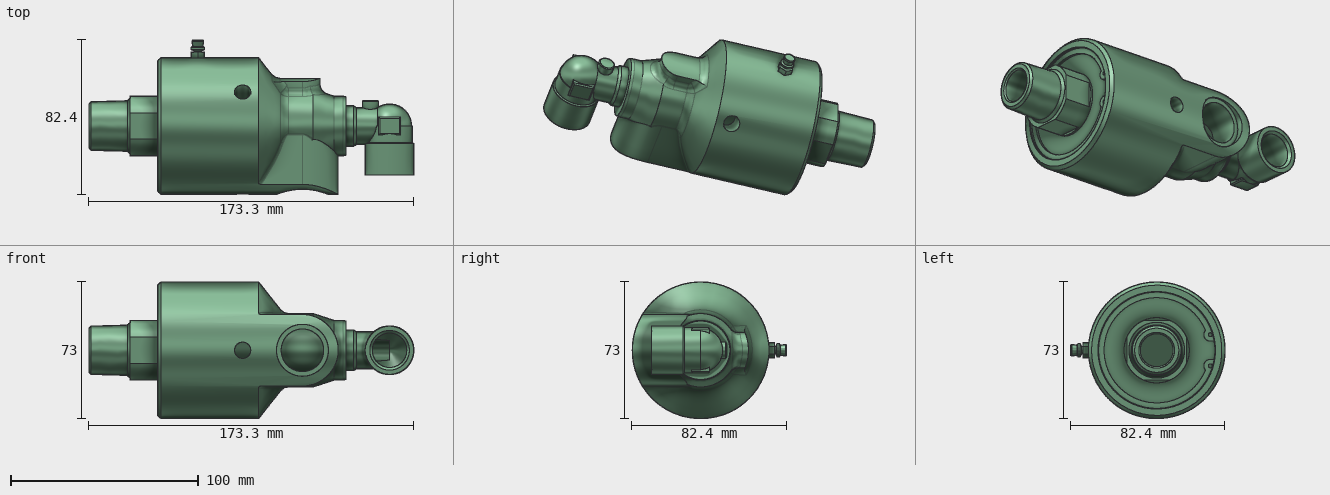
import cadquery as cq
import math


overlap = 1.7
margin = 0.2

pipe_tip_radius = 11.8
pipe_radius_start = 13.0
pipe_radius_end = 13.5
pipe_chamfer = 1.2
pipe_end = 20.5
nut_start = 22.0
nut_face_radius = 14.9
nut_diameter = 34.8
nut_across_flats = 31.9
nut_flats_end = 38.1
bore_diameter = 17.5
bore_mouth_diameter = 19.0
bore_depth = 90.1

body_start = 36.5
body_end = 90.5
body_radius = 36.48
body_chamfer = 1.7
neck_start = 103.8
neck_end = 119.6
neck_radius = 19.5
shoulder_fillet = 5.4
flange_start = 130.7
flange_end = 137.1
flange_radius = 16.0
flange_bevel_length = 1.5
flange_bevel_depth = 0.3
collar_end = 142.6
collar_radius = 11.0
collar_chamfer = 1.5

recess_diameter = 62.0
recess_depth = 2.8
recess_chamfer = 0.3
ring_inner_radius = 28.0
ring_thickness = 1.4
ring_gap = 9.7
ear_radius = 3.5
ear_y = -28.6
ear_z = 8.3
ear_hole_diameter = 2.0

port_x = 113.9
port_diameter = 22.7
port_counterbore_diameter = 27.7
port_counterbore_depth = 3.6
port_floor_radius = 15.3
lug_half_width = 19.0
lug_fillet = 1.7
back_pad_radius = 25.5
back_pad_half_width = 9.4
back_pad_fillet = 5.5
weep_x = 82.0
weep_diameter = 8.7
weep_floor_radius = 19.0
weep_count = 3

nipple_x = 58.0
nipple_length = 9.4
nipple_hex_height = 3.0
nipple_hex_flats = 7.1
nipple_neck_radius = 2.0
nipple_bulge_radius = 3.6
nipple_bulge_height = 1.0
nipple_head_radius = 3.1
nipple_tip_radius = 2.8
nipple_slope = 0.7
nipple_root_depth = 0.9

elbow_x = 160.3
elbow_radius = 12.1
dome_radius = 11.8
arm_radius = 9.9
arm_bore_diameter = 11.5
sleeve_diameter = 26.0
sleeve_start = 9.4
sleeve_end = 26.2
sleeve_bevel = 0.7
sleeve_bore_diameter = 18.4
sleeve_bore_chamfer = 1.4
drill_tip_height = 5.2
pad_length = 11.8
pad_width = 9.5
pad_height = 12.1
pad_chamfer = 0.7
stub_x = 150.1
stub_diameter = 8.7
stub_top = 13.7
stub_chamfer = 0.5


def turned(profile):
    """Solid of revolution about X from (x, radius) points, closed along the axis."""
    points = [(profile[0][0], 0)] + profile + [(profile[-1][0], 0)]
    return cq.Workplane("XY").polyline(points).close().revolve(360, (0, 0, 0), (1, 0, 0))


def turned_y(x, profile):
    """Solid of revolution about the line through x parallel to Y, from (radius, y) points."""
    outline = cq.Workplane("XY", origin=(x, 0, 0)).polyline(profile).close()
    return outline.revolve(360, (0, 0, 0), (0, 1, 0))


def rod_x(radius, start, end):
    return cq.Workplane("YZ", origin=(start, 0, 0)).circle(radius).extrude(end - start)


def rod_front(x, radius, near, far):
    """Cylinder pointing to -Y, between the distances near and far from the axis."""
    return cq.Workplane("XZ", origin=(x, -near, 0)).circle(radius).extrude(far - near)


def box_selector(low, high):
    """Select edges whose centre lies in the box."""
    return cq.selectors.BoxSelector(low, high)


def make_housing():
    housing = turned([
        (body_start, body_radius - body_chamfer),
        (body_start + body_chamfer, body_radius),
        (body_end, body_radius),
        (neck_start, neck_radius),
        (neck_end, neck_radius),
        (flange_start, flange_radius),
        (flange_end - flange_bevel_length, flange_radius),
        (flange_end, flange_radius - flange_bevel_depth),
    ])
    corner = (neck_start + margin, neck_radius, neck_radius)
    shoulder = box_selector((neck_start - margin, -neck_radius, -neck_radius), corner)
    return housing.edges(shoulder).fillet(shoulder_fillet)


def make_lug(half_width, reach, direction):
    """Round-ended arm from the body to the port axis, ending on a cylinder about X."""
    start = body_end - overlap
    arm = (
        cq.Workplane("XZ")
        .moveTo(start, -half_width)
        .lineTo(port_x, -half_width)
        .threePointArc((port_x + half_width, 0), (port_x, half_width))
        .lineTo(start, half_width)
        .close()
        .extrude(-direction * body_radius)
    )
    return arm.intersect(rod_x(reach, start, port_x + half_width))


def make_inlet():
    pipe = turned([
        (0, pipe_tip_radius),
        (pipe_chamfer, pipe_radius_start),
        (pipe_end, pipe_radius_end),
        (nut_start, nut_face_radius),
    ])
    flats_length = nut_flats_end - nut_start
    nut = rod_x(nut_diameter / 2, nut_start, body_start + recess_depth)
    square = cq.Workplane("YZ", origin=(nut_start, 0, 0)).rect(nut_across_flats, nut_across_flats)
    offcut = rod_x(nut_diameter, nut_start, nut_flats_end).cut(square.extrude(flats_length))
    return pipe.union(nut.cut(offcut))


def make_snap_ring():
    ring_plane = cq.Workplane("YZ", origin=(body_start + recess_depth - ring_thickness, 0, 0))
    ring = ring_plane.circle(recess_diameter / 2).circle(ring_inner_radius).extrude(ring_thickness)
    gap = ring_plane.center(-body_radius / 2, 0).rect(body_radius, ring_gap).extrude(ring_thickness)
    ears = ring_plane.pushPoints([(ear_y, ear_z), (ear_y, -ear_z)])
    ring = ring.union(ears.circle(ear_radius).extrude(ring_thickness))
    ring = ring.cut(ears.circle(ear_hole_diameter / 2).extrude(ring_thickness))
    ring = ring.intersect(ring_plane.circle(recess_diameter / 2).extrude(ring_thickness))
    return ring.cut(gap)


def make_port():
    port = rod_front(port_x, port_diameter / 2, 0, body_radius)
    counterbore_floor = body_radius - port_counterbore_depth
    mouth_radius = port_counterbore_diameter / 2
    counterbore = rod_front(port_x, mouth_radius, counterbore_floor, body_radius + overlap)
    return port.union(counterbore).cut(rod_x(port_floor_radius, body_start, flange_end))


def make_weep_holes():
    hole = rod_front(weep_x, weep_diameter / 2, 0, body_radius + overlap)
    hole = hole.cut(rod_x(weep_floor_radius, body_start, flange_end))
    return [hole.rotate((0, 0, 0), (1, 0, 0), i * 360 / weep_count) for i in range(weep_count)]


def make_nipple():
    root = body_radius - nipple_root_depth
    base = body_radius + nipple_hex_height
    tip = body_radius + nipple_length
    bulge_start = base + 2 * nipple_slope
    bulge_end = bulge_start + nipple_bulge_height
    hex_diameter = nipple_hex_flats / math.cos(math.pi / 6)
    hexagon = (
        cq.Workplane("XZ", origin=(nipple_x, root, 0))
        .transformed(rotate=(0, 0, 30))
        .polygon(6, hex_diameter)
        .extrude(root - base)
    )
    fitting = turned_y(nipple_x, [
        (0, root),
        (nipple_neck_radius, root),
        (nipple_neck_radius, bulge_start - nipple_slope),
        (nipple_bulge_radius, bulge_start),
        (nipple_bulge_radius, bulge_end),
        (nipple_tip_radius, bulge_end + nipple_slope),
        (nipple_head_radius, tip - nipple_slope),
        (nipple_tip_radius, tip),
        (0, tip),
    ])
    return hexagon.union(fitting)


def make_elbow():
    collar = turned([
        (flange_end, collar_radius),
        (collar_end - collar_chamfer, collar_radius),
        (collar_end, arm_radius),
        (elbow_x, arm_radius),
    ])
    dome = cq.Workplane("XY").sphere(dome_radius).translate((elbow_x, 0, 0))
    pads = (
        cq.Workplane("XY")
        .box(pad_length, pad_width, 2 * pad_height)
        .faces("<Z or >Z")
        .chamfer(pad_chamfer)
        .translate((elbow_x, 0, 0))
    )
    stub = (
        cq.Workplane("XZ", origin=(stub_x, 0, 0))
        .circle(stub_diameter / 2)
        .extrude(-stub_top)
        .faces(">Y")
        .chamfer(stub_chamfer)
    )
    barrel = turned_y(elbow_x, [
        (0, 0),
        (elbow_radius, 0),
        (elbow_radius, -sleeve_start + sleeve_bevel),
        (elbow_radius + sleeve_bevel, -sleeve_start),
        (0, -sleeve_start),
    ])
    elbow = collar.union(stub).union(dome).union(pads).union(barrel)
    return elbow.union(rod_front(elbow_x, sleeve_diameter / 2, sleeve_start, sleeve_end))


def make_elbow_bores():
    radius = sleeve_bore_diameter / 2
    mouth = radius + sleeve_bore_chamfer
    outlet = turned_y(elbow_x, [
        (0, -sleeve_end),
        (mouth, -sleeve_end),
        (radius, -sleeve_end + sleeve_bore_chamfer),
        (radius, 0),
        (0, drill_tip_height),
    ])
    return outlet.union(rod_x(arm_bore_diameter / 2, flange_end, elbow_x))


def add_back_pad(housing):
    """Join the back pad and blend it into the shoulder cone and the neck."""
    body = housing.union(make_lug(back_pad_half_width, back_pad_radius, 1))
    half = back_pad_half_width + margin
    pad_end = port_x + half
    neck_edges = box_selector((body_end, 0, -half), (pad_end, neck_radius, half))
    cone_edges = box_selector((body_end, neck_radius, -half), (neck_start - overlap, back_pad_radius, half))
    return body.edges(neck_edges + cone_edges).fillet(back_pad_fillet)


def add_front_lug(housing):
    """Join the port lug and blend its flat sides into the shoulder cone."""
    body = housing.union(make_lug(lug_half_width, body_radius, -1))
    half = lug_half_width + margin
    inner_corner = (neck_start - 2 * overlap, -neck_radius / 2, half)
    cone_edges = box_selector((body_end, -body_radius, -half), inner_corner)
    return body.edges(cone_edges).fillet(lug_fillet)


def make_recess():
    radius = recess_diameter / 2
    return turned([
        (body_start, radius + recess_chamfer),
        (body_start + recess_chamfer, radius),
        (body_start + recess_depth, radius),
    ])


def make_inlet_bore():
    radius = bore_diameter / 2
    mouth = bore_mouth_diameter / 2
    return turned([(0, mouth), (mouth - radius, radius), (bore_depth, radius)])


housing = add_back_pad(add_front_lug(make_housing()))
housing = housing.cut(make_recess()).cut(make_port())
for weep_hole in make_weep_holes():
    housing = housing.cut(weep_hole)

result = housing.union(make_inlet()).union(make_snap_ring()).union(make_nipple()).union(make_elbow())
result = result.cut(make_inlet_bore()).cut(make_elbow_bores())